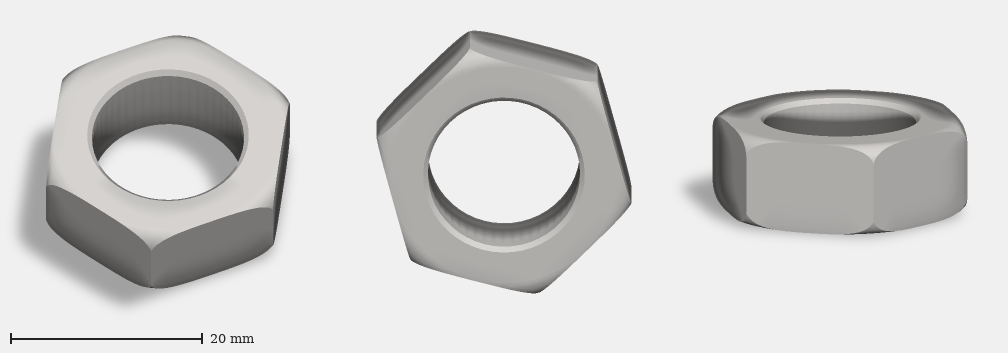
import cadquery as cq

across_corners = 27.57
height = 9.65
bore_diameter = 15.88
bore_chamfer = 0.5
corner_radius = 1.99


def hexagonal_blank():
    """Hexagonal prism with two corners on the Y axis, centred on the origin."""
    return (
        cq.Workplane("XY")
        .polygon(6, across_corners)
        .extrude(height / 2, both=True)
        .rotate((0, 0, 0), (0, 0, 1), 90)
    )


def rounding_envelope():
    """Round disc through the hexagon corners, with both rims rounded."""
    return (
        cq.Workplane("XY")
        .circle(across_corners / 2)
        .extrude(height / 2, both=True)
        .edges("%CIRCLE")
        .fillet(corner_radius)
    )


def chamfered_bore():
    """Through bore that widens to a 45 degree chamfer at each face."""
    bore_radius = bore_diameter / 2
    mouth_radius = bore_radius + bore_chamfer
    half_height = height / 2
    chamfer_start = half_height - bore_chamfer
    return (
        cq.Workplane("XZ")
        .moveTo(0, -half_height)
        .lineTo(mouth_radius, -half_height)
        .lineTo(bore_radius, -chamfer_start)
        .lineTo(bore_radius, chamfer_start)
        .lineTo(mouth_radius, half_height)
        .lineTo(0, half_height)
        .close()
        .revolve(360, (0, 0, 0), (0, 1, 0))
    )


result = hexagonal_blank().intersect(rounding_envelope()).cut(chamfered_bore())